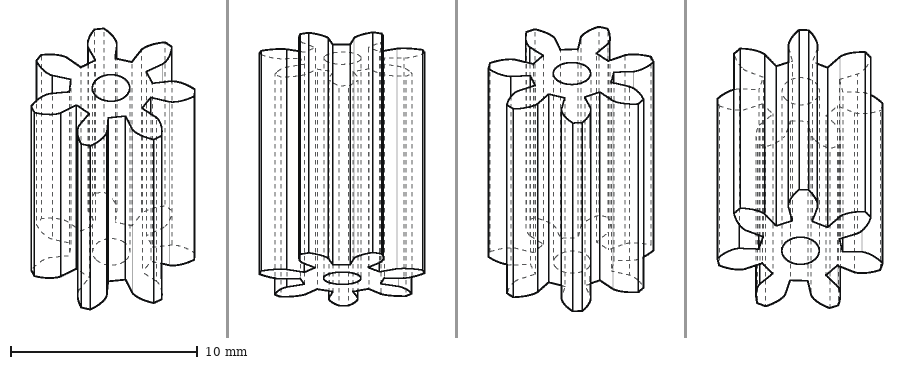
import cadquery as cq
import math

TOOTH_COUNT = 7
MODULE = 1.0
PRESSURE_ANGLE = math.radians(20)
FACE_WIDTH = 12.5
BORE_DIAMETER = 2.0
DEDENDUM_FACTOR = 1.25
FLANK_STEPS = 8

pitch_radius = MODULE * TOOTH_COUNT / 2
base_radius = pitch_radius * math.cos(PRESSURE_ANGLE)
tip_radius = pitch_radius + MODULE
root_radius = pitch_radius - DEDENDUM_FACTOR * MODULE

tooth_pitch_angle = 2 * math.pi / TOOTH_COUNT
involute_at_pitch = math.tan(PRESSURE_ANGLE) - PRESSURE_ANGLE
base_half_angle = tooth_pitch_angle / 4 + involute_at_pitch


def polar(radius, angle):
    return (radius * math.cos(angle), radius * math.sin(angle))


def flank_points(tooth_angle, side):
    """Involute flank from base circle to tip; side is -1 or +1 about the tooth centre line."""
    last_roll = math.sqrt((tip_radius / base_radius) ** 2 - 1)
    points = []
    for step in range(FLANK_STEPS + 1):
        roll = last_roll * step / FLANK_STEPS
        radius = base_radius * math.sqrt(1 + roll**2)
        half_angle = base_half_angle - (roll - math.atan(roll))
        points.append(polar(radius, tooth_angle + side * half_angle))
    return points


def gear_outline():
    """Teeth with radial lower flanks, involute upper flanks, and flat tips and roots."""
    outline = cq.Workplane("XY").moveTo(*polar(root_radius, -base_half_angle))
    for tooth in range(TOOTH_COUNT):
        tooth_angle = tooth * tooth_pitch_angle
        rising = flank_points(tooth_angle, -1)
        falling = flank_points(tooth_angle, 1)[::-1]
        outline = outline.lineTo(*rising[0])
        outline = outline.spline(rising[1:], includeCurrent=True)
        outline = outline.lineTo(*falling[0])
        outline = outline.spline(falling[1:], includeCurrent=True)
        outline = outline.lineTo(*polar(root_radius, tooth_angle + base_half_angle))
        if tooth < TOOTH_COUNT - 1:
            next_root_angle = tooth_angle + tooth_pitch_angle - base_half_angle
            outline = outline.lineTo(*polar(root_radius, next_root_angle))
    return outline.close()


gear_body = gear_outline().extrude(FACE_WIDTH)

bore = cq.Workplane("XY").circle(BORE_DIAMETER / 2).extrude(FACE_WIDTH)

result = gear_body.cut(bore)